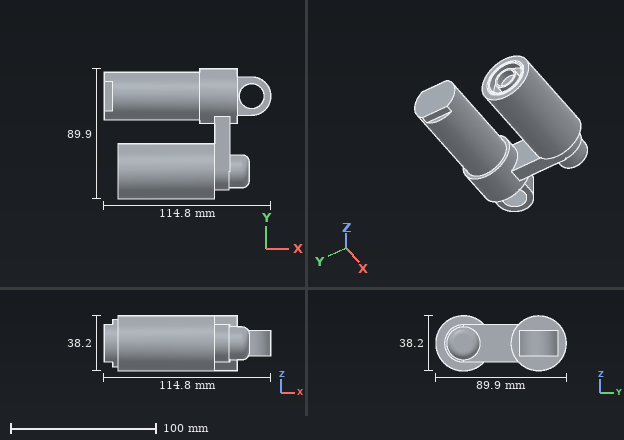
import cadquery as cq

axis_spacing = 51.8

bar_diameter = 33.0
collar_diameter = 38.0
collar_start = 65.7
collar_end = 91.6
flat_length = 5.7
across_flats = 26.0
overall_length = 114.8
eye_width = 26.6
eye_thickness = 17.7
eye_hole_diameter = 17.0

barrel_diameter = 38.2
barrel_start = 9.4
barrel_end = 76.0
boss_diameter = across_flats
boss_end = 86.0
nose_diameter = 22.8
nose_end = 99.9
nose_radius = 4.9

groove_outer_diameter = 30.0
groove_inner_diameter = 28.0
pocket_diameter = 26.0
tube_outer_diameter = 16.5
tube_inner_diameter = 14.0
recess_depth = 5.7

link_end = 86.7
link_height = across_flats


def x_cylinder(diameter, start, end, y=0):
    """Cylinder parallel to X between two X positions."""
    return cq.Workplane("YZ", origin=(start, y, 0)).circle(diameter / 2).extrude(end - start)


def x_ring(outer_diameter, inner_diameter, start, end, y):
    """Hollow cylinder parallel to X."""
    return x_cylinder(outer_diameter, start, end, y).cut(x_cylinder(inner_diameter, start, end, y))


def make_bar():
    bar = x_cylinder(bar_diameter, 0, collar_start)
    end_stock = cq.Workplane().box(flat_length, bar_diameter, bar_diameter, centered=(False, True, True))
    flatted_stock = cq.Workplane().box(flat_length, bar_diameter, across_flats, centered=(False, True, True))
    return bar.cut(end_stock.cut(flatted_stock))


def make_eye():
    eye_radius = eye_width / 2
    eye_center = overall_length - eye_radius
    shank_start = (collar_start + collar_end) / 2
    shank = cq.Workplane().box(
        eye_center - shank_start, eye_width, eye_thickness, centered=(False, True, True)
    ).translate((shank_start, 0, 0))
    base = cq.Workplane("XY", origin=(eye_center, 0, -eye_thickness / 2))
    rounded_end = base.circle(eye_radius).extrude(eye_thickness)
    hole = base.circle(eye_hole_diameter / 2).extrude(eye_thickness)
    return shank.union(rounded_end).cut(hole)


def make_barrel():
    y = -axis_spacing
    nose = x_cylinder(nose_diameter, boss_end, nose_end, y).faces(">X").edges().fillet(nose_radius)
    barrel = x_cylinder(barrel_diameter, barrel_start, barrel_end, y)
    barrel = barrel.union(x_cylinder(boss_diameter, barrel_end, boss_end, y)).union(nose)
    floor = barrel_start + recess_depth
    groove = x_ring(groove_outer_diameter, groove_inner_diameter, barrel_start, floor, y)
    pocket = x_ring(pocket_diameter, tube_outer_diameter, barrel_start, floor, y)
    tube_bore = x_cylinder(tube_inner_diameter, barrel_start, floor, y)
    return barrel.cut(groove).cut(pocket).cut(tube_bore)


def make_link():
    link = cq.Workplane().box(
        link_end - barrel_end, axis_spacing, link_height, centered=(False, False, True)
    )
    return link.translate((barrel_end, -axis_spacing, 0))


collar = x_cylinder(collar_diameter, collar_start, collar_end)
handle = make_bar().union(collar).union(make_eye())
result = handle.union(make_link()).union(make_barrel())